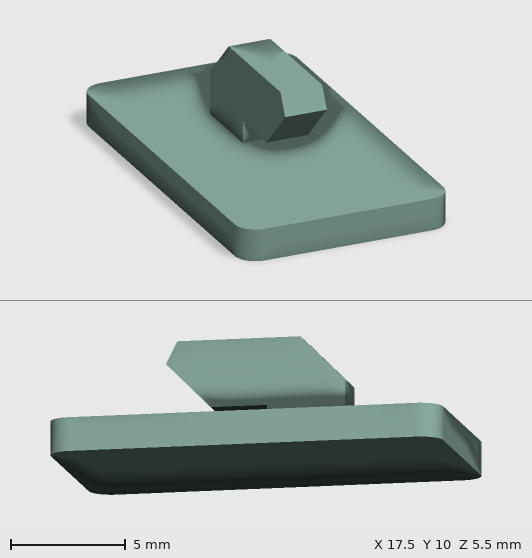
import cadquery as cq

plate_length = 17.5
plate_width = 10.0
plate_thickness = 1.5
corner_radius = 1.0

total_height = 5.5
hook_thickness = 2.0
hook_length = 8.0
hook_setback = 5.0
shank_length = 3.5
gap_height = 1.0
back_chamfer = 2.0
tip_slope = 2.0
nose_length = 0.5

back_x = -plate_length / 2 + hook_setback
shank_x = back_x + shank_length
tip_x = back_x + hook_length
arm_bottom_z = plate_thickness + gap_height
tip_z = arm_bottom_z + tip_slope


def make_plate():
    """Flat plate with rounded vertical corners, resting on Z = 0."""
    plate = cq.Workplane("XY").box(
        plate_length, plate_width, plate_thickness, centered=(True, True, False)
    )
    return plate.edges("|Z").fillet(corner_radius)


def make_hook():
    """Side profile of the hook, extruded equally to both sides of Y = 0."""
    outline = [
        (back_x, plate_thickness),
        (shank_x, plate_thickness),
        (shank_x, arm_bottom_z),
        (tip_x - tip_slope, arm_bottom_z),
        (tip_x, tip_z),
        (tip_x - nose_length, total_height),
        (back_x + back_chamfer, total_height),
        (back_x, total_height - back_chamfer),
    ]
    profile = cq.Workplane("XZ").polyline(outline).close()
    return profile.extrude(hook_thickness / 2, both=True)


result = make_plate().union(make_hook())